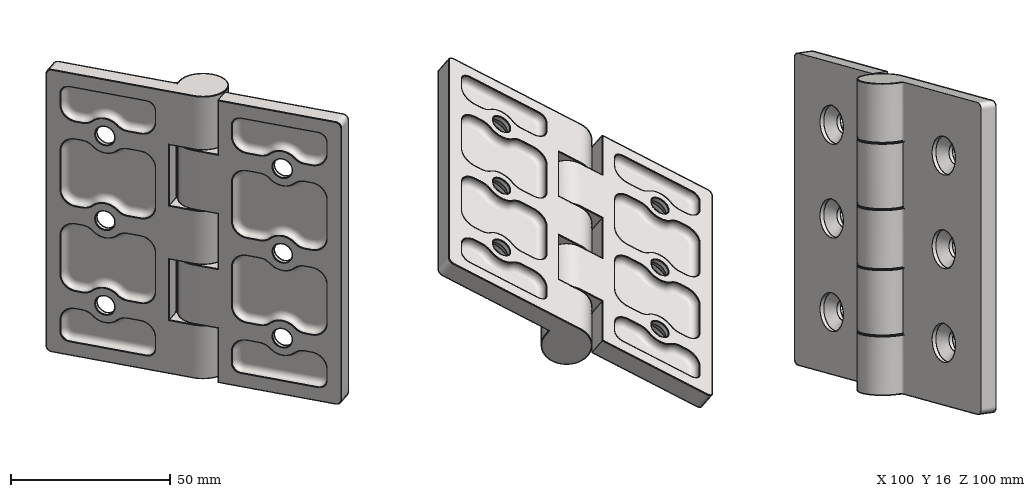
import cadquery as cq
import math

leaf_height = 100.0
leaf_half_width = 50.0
plate_thickness = 6.0
plate_corner_radius = 2.0
edge_break = 0.2

barrel_radius = 8.0
root_fillet = 1.0
left_knuckle_length = 19.0
running_gap = 0.25

hole_x = 30.0
hole_pitch = 30.0
hole_diameter = 6.5
hole_lip = 1.6
head_diameter = 12.4

pocket_margin = 5.0
pocket_inner_x = 13.0
pocket_depth = 3.0
pocket_floor_fillet = 2.0
pocket_to_hole_line = 3.2
plain_corner_radius = 3.0
wave_radius = 5.0
boss_radius = 6.2

top_z = leaf_height / 2
plate_front = -barrel_radius
plate_back = plate_front + plate_thickness
middle_end_z = left_knuckle_length / 2
outer_end_z = top_z - left_knuckle_length
right_low_z = middle_end_z + running_gap
right_high_z = outer_end_z - running_gap
notch_depth = barrel_radius + running_gap
pocket_outer_x = leaf_half_width - pocket_margin
pocket_end_z = top_z - pocket_margin


def block(x_range, y_range, z_range):
    """Box between two limits on each axis."""
    sizes = [high - low for low, high in (x_range, y_range, z_range)]
    corner = (x_range[0], y_range[0], z_range[0])
    return cq.Workplane("XY").box(*sizes, centered=False).translate(corner)


def boss_recess(edge_z, inward):
    """Wavy lobe that a screw boss takes out of a pocket edge; inward is +1 or -1 along Z."""
    centre_distance = boss_radius + wave_radius
    wave_height = pocket_to_hole_line + wave_radius
    half_width = math.sqrt(centre_distance**2 - wave_height**2)
    slope = math.atan2(wave_height, half_width)
    tangent_x = boss_radius * math.cos(slope)
    tangent_z = edge_z + inward * (boss_radius * math.sin(slope) - pocket_to_hole_line)
    crest_z = edge_z + inward * (boss_radius - pocket_to_hole_line)
    middle_angle = (slope + math.pi / 2) / 2
    middle_x = half_width - wave_radius * math.cos(middle_angle)
    middle_z = edge_z + inward * wave_radius * (1 - math.sin(middle_angle))
    return (
        cq.Workplane("XZ", origin=(-hole_x, plate_front, 0))
        .moveTo(-half_width, edge_z)
        .threePointArc((-middle_x, middle_z), (-tangent_x, tangent_z))
        .threePointArc((0, crest_z), (tangent_x, tangent_z))
        .threePointArc((middle_x, middle_z), (half_width, edge_z))
        .close()
        .extrude(-pocket_depth)
    )


def pocket(z_low, z_high, boss_below, boss_above):
    """Pocket tool with a rounded floor edge, waved where it passes a screw boss."""
    tool = block(
        (-pocket_outer_x, -pocket_inner_x),
        (plate_front, plate_front + pocket_depth),
        (z_low, z_high),
    )
    low_radius = wave_radius if boss_below else plain_corner_radius
    high_radius = wave_radius if boss_above else plain_corner_radius
    tool = tool.edges("|Y and <Z").fillet(low_radius)
    tool = tool.edges("|Y and >Z").fillet(high_radius)
    if boss_below:
        tool = tool.cut(boss_recess(z_low, 1))
    if boss_above:
        tool = tool.cut(boss_recess(z_high, -1))
    return tool.faces(">Y").edges().fillet(pocket_floor_fillet)


def screw_hole(line_z):
    """Screw hole tool: clearance hole, 90 degree cone, then the straight recess for the head."""
    hole_radius = hole_diameter / 2
    head_radius = head_diameter / 2
    cone_depth = head_radius - hole_radius
    return (
        cq.Workplane("XY")
        .lineTo(hole_radius, 0)
        .lineTo(hole_radius, hole_lip)
        .lineTo(head_radius, hole_lip + cone_depth)
        .lineTo(head_radius, plate_thickness)
        .lineTo(0, plate_thickness)
        .close()
        .revolve(360, (0, 0, 0), (0, 1, 0))
        .translate((-hole_x, plate_front, line_z))
    )


def plate(notches):
    """Left-hand plate with notches, pockets and holes; the edges of its front face are broken."""
    body = block((-leaf_half_width, 0), (plate_front, plate_back), (-top_z, top_z))
    body = body.edges("|Y and <X").fillet(plate_corner_radius)
    for notch in notches:
        body = body.cut(block((-notch_depth, 0), (plate_front, plate_back), notch))

    hole_lines = [-hole_pitch, 0, hole_pitch]
    for lower, upper in zip(hole_lines, hole_lines[1:]):
        body = body.cut(pocket(lower + pocket_to_hole_line, upper - pocket_to_hole_line, True, True))
    end_pocket_z = hole_pitch + pocket_to_hole_line
    body = body.cut(pocket(end_pocket_z, pocket_end_z, True, False))
    body = body.cut(pocket(-pocket_end_z, -end_pocket_z, False, True))

    for line_z in hole_lines:
        body = body.cut(screw_hole(line_z))
    return body.faces("<Y").edges("not >X").chamfer(edge_break)


def knuckle(z_range):
    """Barrel section with its neck down to the back of the left-hand plate."""
    z_low, z_high = z_range
    base = cq.Workplane("XY", origin=(0, 0, z_low))
    length = z_high - z_low
    barrel = base.circle(barrel_radius).extrude(length).faces("|Z").edges().chamfer(edge_break)
    neck = block((-barrel_radius, 0), (plate_back, 0), z_range)
    neck = neck.edges("|Y and <X").chamfer(edge_break)
    centre_x = -barrel_radius - root_fillet
    centre_y = plate_back + root_fillet
    arc_middle = root_fillet * math.sqrt(0.5)
    root = (
        base.moveTo(-barrel_radius, plate_back)
        .lineTo(-barrel_radius, centre_y)
        .threePointArc((centre_x + arc_middle, centre_y - arc_middle), (centre_x, plate_back))
        .close()
        .extrude(length)
    )
    return barrel.union(neck).union(root)


def leaf(knuckles, notches):
    """Left-hand leaf: plate with its knuckles, as one solid."""
    body = plate(notches)
    for z_range in knuckles:
        body = body.union(knuckle(z_range))
    return body


left_leaf = leaf(
    knuckles=[(-top_z, -outer_end_z), (-middle_end_z, middle_end_z), (outer_end_z, top_z)],
    notches=[(-outer_end_z, -middle_end_z), (middle_end_z, outer_end_z)],
)

right_leaf = leaf(
    knuckles=[(-right_high_z, -right_low_z), (right_low_z, right_high_z)],
    notches=[(-top_z, -right_high_z), (-right_low_z, right_low_z), (right_high_z, top_z)],
).mirror("YZ")

result = cq.Compound.makeCompound([left_leaf.solids().val(), right_leaf.solids().val()])